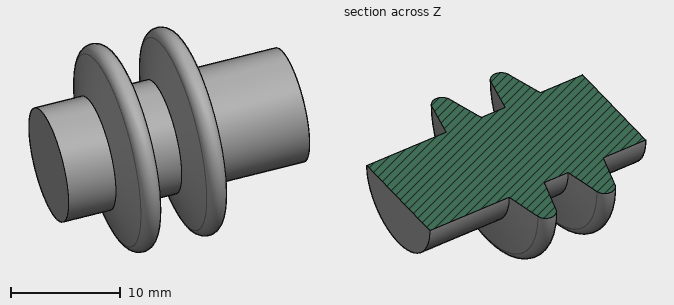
import cadquery as cq
import math

shaft_length = 23.35
shaft_radius = 5.37

flange_radius = 9.78
rim_radius = 1.0
flange_pitch = 6.37
flange_count = 2
first_rim_y = 6.63
front_base_offset = 2.05
back_base_offset = 1.77

rim_centre_radius = flange_radius - rim_radius


def taper_angle(base_offset):
    """Angle from the radial direction of a taper tangent to the rim."""
    radial_run = rim_centre_radius - shaft_radius
    centre_distance = math.hypot(radial_run, base_offset)
    return math.atan2(base_offset, radial_run) - math.asin(rim_radius / centre_distance)


def make_flange(rim_y):
    """Revolve a flange whose tapers run tangentially into the rim."""
    front_angle = taper_angle(front_base_offset)
    back_angle = taper_angle(back_base_offset)
    front_tangent = (
        rim_centre_radius + rim_radius * math.sin(front_angle),
        rim_y - rim_radius * math.cos(front_angle),
    )
    back_tangent = (
        rim_centre_radius + rim_radius * math.sin(back_angle),
        rim_y + rim_radius * math.cos(back_angle),
    )
    return (
        cq.Workplane("XY")
        .moveTo(0, rim_y - front_base_offset)
        .lineTo(shaft_radius, rim_y - front_base_offset)
        .lineTo(*front_tangent)
        .threePointArc((flange_radius, rim_y), back_tangent)
        .lineTo(shaft_radius, rim_y + back_base_offset)
        .lineTo(0, rim_y + back_base_offset)
        .close()
        .revolve(360, (0, 0, 0), (0, 1, 0))
    )


result = cq.Workplane("XZ").circle(shaft_radius).extrude(-shaft_length)
for index in range(flange_count):
    result = result.union(make_flange(first_rim_y + index * flange_pitch))